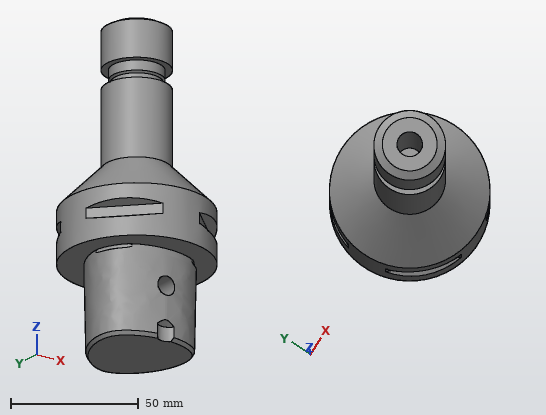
import cadquery as cq
import math

TOTAL_HEIGHT = 138.0
FLANGE_BOTTOM = 38.0
FLANGE_TOP = 60.0
CONE_TOP = 78.0
GROOVE_BOTTOM = 111.6
COLLAR_BOTTOM = 115.0
HEAD_BOTTOM = 120.0

FLANGE_DIAMETER = 63.0
FLANGE_RADIUS = FLANGE_DIAMETER / 2
SPINDLE_RADIUS = 14.1
GROOVE_RADIUS = 10.4
COLLAR_RADIUS = 11.2
COLLAR_CHAMFER = 0.8
HEAD_CHAMFER_WIDTH = 3.3
HEAD_CHAMFER_HEIGHT = 1.8
BORE_RADIUS = 5.0
BORE_DEPTH = 27.6

SHANK_RADIUS = 22.1
LOBE_HEIGHT = 1.4
OUTLINE_SAMPLES = 48
TAPER_TOP = 35.3
TAPER = 1 / 50
SHANK_CHAMFER_WIDTH = 1.0
SHANK_CHAMFER_HEIGHT = 1.7

RELIEF_RADIUS = 1.1
RELIEF_RING_RADIUS = 23.5
RELIEF_HEIGHT = 37.3

POCKET_COUNT = 4
POCKET_FLAT_DISTANCE = 27.6
POCKET_FLAT_HEIGHT = 4.3
POCKET_MOUTH_HEIGHT = 7.7
POCKET_HEIGHT = 50.0

HOLE_RADIUS = 4.0
HOLE_HEIGHT = 22.5
HOLE_END_DISTANCE = 11.0
HOLE_TIP_LENGTH = 2.3
SLOT_RADIUS = 4.5
SLOT_AXIS_DISTANCE = 22.2
SLOT_HEIGHT = 6.1
SLOT_TIP_LENGTH = 3.7


def lobed_wire(height, inset):
    """Closed three-lobed curve at the given height, offset inward by the inset."""
    radius = SHANK_RADIUS - inset

    def point(index):
        angle = 2 * math.pi * index / OUTLINE_SAMPLES
        side_wave = 2 * math.sin(2 * angle) + math.sin(4 * angle)
        lobe_wave = 2 * math.cos(2 * angle) - math.cos(4 * angle)
        x = radius * math.sin(angle) + LOBE_HEIGHT * side_wave
        y = LOBE_HEIGHT * lobe_wave - radius * math.cos(angle)
        return cq.Vector(x, y, height)

    points = [point(index) for index in range(OUTLINE_SAMPLES)]
    return cq.Wire.assembleEdges([cq.Edge.makeSpline(points, periodic=True)])


def make_shank():
    end_inset = TAPER * (TAPER_TOP - SHANK_CHAMFER_HEIGHT)
    sections = [
        (0, end_inset + SHANK_CHAMFER_WIDTH),
        (SHANK_CHAMFER_HEIGHT, end_inset),
        (TAPER_TOP, 0),
        (FLANGE_BOTTOM, 0),
    ]
    wires = [lobed_wire(height, inset) for height, inset in sections]
    return cq.Workplane(cq.Solid.makeLoft(wires, ruled=True))


def make_relief():
    """Ring of round section for grooving the lobes just below the flange."""
    ring = cq.Solid.makeTorus(RELIEF_RING_RADIUS, RELIEF_RADIUS)
    return cq.Workplane(ring).translate((0, 0, RELIEF_HEIGHT))


def make_body():
    return (
        cq.Workplane("XZ")
        .moveTo(0, FLANGE_BOTTOM)
        .lineTo(FLANGE_RADIUS, FLANGE_BOTTOM)
        .lineTo(FLANGE_RADIUS, FLANGE_TOP)
        .lineTo(SPINDLE_RADIUS, CONE_TOP)
        .lineTo(SPINDLE_RADIUS, GROOVE_BOTTOM)
        .lineTo(GROOVE_RADIUS, GROOVE_BOTTOM)
        .lineTo(GROOVE_RADIUS, COLLAR_BOTTOM)
        .lineTo(COLLAR_RADIUS, COLLAR_BOTTOM + COLLAR_CHAMFER)
        .lineTo(COLLAR_RADIUS, HEAD_BOTTOM)
        .lineTo(SPINDLE_RADIUS, HEAD_BOTTOM)
        .lineTo(SPINDLE_RADIUS, TOTAL_HEIGHT - HEAD_CHAMFER_HEIGHT)
        .lineTo(SPINDLE_RADIUS - HEAD_CHAMFER_WIDTH, TOTAL_HEIGHT)
        .lineTo(0, TOTAL_HEIGHT)
        .close()
        .revolve(360, (0, 0, 0), (0, 1, 0))
    )


def make_pocket(angle):
    """Flat-bottomed pocket that widens outward, facing the given angle."""
    half_flat = POCKET_FLAT_HEIGHT / 2
    half_mouth = POCKET_MOUTH_HEIGHT / 2
    return (
        cq.Workplane("XZ")
        .moveTo(POCKET_FLAT_DISTANCE, POCKET_HEIGHT - half_flat)
        .lineTo(FLANGE_RADIUS, POCKET_HEIGHT - half_mouth)
        .lineTo(FLANGE_RADIUS, POCKET_HEIGHT + half_mouth)
        .lineTo(POCKET_FLAT_DISTANCE, POCKET_HEIGHT + half_flat)
        .close()
        .extrude(FLANGE_RADIUS, both=True)
        .rotate((0, 0, 0), (0, 0, 1), angle)
    )


def make_drill(radius, length, tip_length):
    """Drill shape along +Z with a conical tip."""
    return (
        cq.Workplane("XZ")
        .lineTo(radius, 0)
        .lineTo(radius, length)
        .lineTo(0, length + tip_length)
        .close()
        .revolve(360, (0, 0, 0), (0, 1, 0))
    )


def make_cross_hole():
    drill = make_drill(HOLE_RADIUS, SHANK_RADIUS - HOLE_END_DISTANCE, HOLE_TIP_LENGTH)
    return drill.rotate((0, 0, 0), (1, 0, 0), -90).translate((0, -SHANK_RADIUS, HOLE_HEIGHT))


def make_key_slot():
    return make_drill(SLOT_RADIUS, SLOT_HEIGHT, SLOT_TIP_LENGTH).translate((0, -SLOT_AXIS_DISTANCE, 0))


result = make_shank().cut(make_relief()).union(make_body())
result = result.cut(make_cross_hole()).cut(make_key_slot())
for index in range(POCKET_COUNT):
    result = result.cut(make_pocket(360 / POCKET_COUNT * (index + 0.5)))
result = result.faces(">Z").workplane().circle(BORE_RADIUS).cutBlind(-BORE_DEPTH)